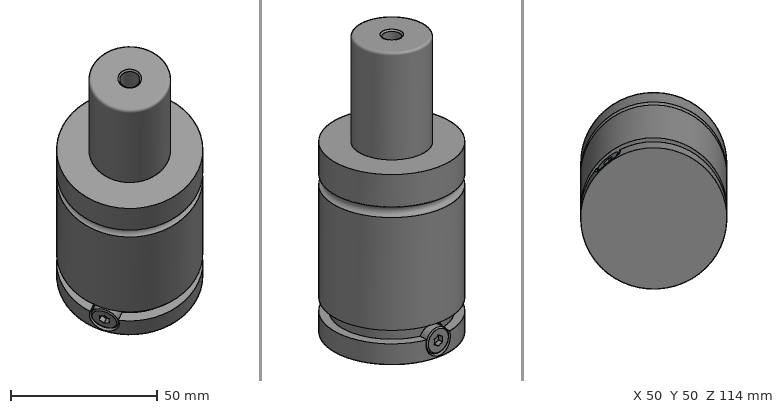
import cadquery as cq
import math

body_radius = 25.0
base_height = 8.0
neck_radius = 21.5
neck_top = 13.2
body_top = 73.0

groove_radius = 2.0
groove_height = 58.5

rod_radius = 14.0
rod_top = 114.0
rod_edge_radius = 1.0
rod_hole_diameter = 6.8
rod_hole_mouth_diameter = 8.0
rod_hole_depth = 15.0
drill_point_angle = 118.0

port_height = 6.0
port_diameter = 11.0
port_floor_distance = 19.0
screw_diameter = 10.0
screw_face_distance = 24.5
screw_chamfer = 0.5
hex_sides = 6
hex_across_flats = 3.6
hex_depth = 2.0


def revolve_about_z(outline):
    """Full turn of an XZ outline about the part axis."""
    return outline.revolve(360, (0, 0, 0), (0, 1, 0))


def make_cylinder_and_rod():
    """Revolved outline of the base, neck, body with groove, and rod."""
    groove_bottom = groove_height - groove_radius
    groove_top = groove_height + groove_radius
    outline = (
        cq.Workplane("XZ")
        .lineTo(body_radius, 0)
        .lineTo(body_radius, base_height)
        .lineTo(neck_radius, base_height)
        .lineTo(neck_radius, neck_top)
        .lineTo(body_radius, neck_top)
        .lineTo(body_radius, groove_bottom)
        .threePointArc((body_radius - groove_radius, groove_height), (body_radius, groove_top))
        .lineTo(body_radius, body_top)
        .lineTo(rod_radius, body_top)
        .lineTo(rod_radius, rod_top - rod_edge_radius)
        .radiusArc((rod_radius - rod_edge_radius, rod_top), -rod_edge_radius)
        .lineTo(0, rod_top)
        .close()
    )
    return revolve_about_z(outline)


def make_rod_hole():
    """Blind hole with a countersunk mouth and a conical drill point."""
    hole_radius = rod_hole_diameter / 2
    mouth_radius = rod_hole_mouth_diameter / 2
    mouth_depth = mouth_radius - hole_radius
    point_depth = hole_radius / math.tan(math.radians(drill_point_angle / 2))
    floor = rod_top - rod_hole_depth
    outline = (
        cq.Workplane("XZ")
        .moveTo(0, rod_top)
        .lineTo(mouth_radius, rod_top)
        .lineTo(hole_radius, rod_top - mouth_depth)
        .lineTo(hole_radius, floor)
        .lineTo(0, floor - point_depth)
        .close()
    )
    return revolve_about_z(outline)


def port_plane(distance):
    """Workplane facing -Y on the port axis, at a distance from the part axis."""
    return cq.Workplane("XZ", origin=(0, -distance, port_height))


def make_port_bore():
    """Round pocket that runs from its floor out through the side wall."""
    bore_depth = body_radius - port_floor_distance
    return port_plane(port_floor_distance).circle(port_diameter / 2).extrude(bore_depth)


def make_port_screw():
    """Chamfered screw head with a hexagon socket, standing on the port floor."""
    head_length = screw_face_distance - port_floor_distance
    head = (
        port_plane(port_floor_distance)
        .circle(screw_diameter / 2)
        .extrude(head_length)
        .faces("<Y")
        .chamfer(screw_chamfer)
    )
    hex_corner_diameter = hex_across_flats / math.cos(math.pi / hex_sides)
    socket = (
        port_plane(screw_face_distance)
        .transformed(rotate=(0, 0, 90))
        .polygon(hex_sides, hex_corner_diameter)
        .extrude(-hex_depth)
    )
    return head.cut(socket)


result = (
    make_cylinder_and_rod()
    .cut(make_rod_hole())
    .cut(make_port_bore())
    .union(make_port_screw())
)